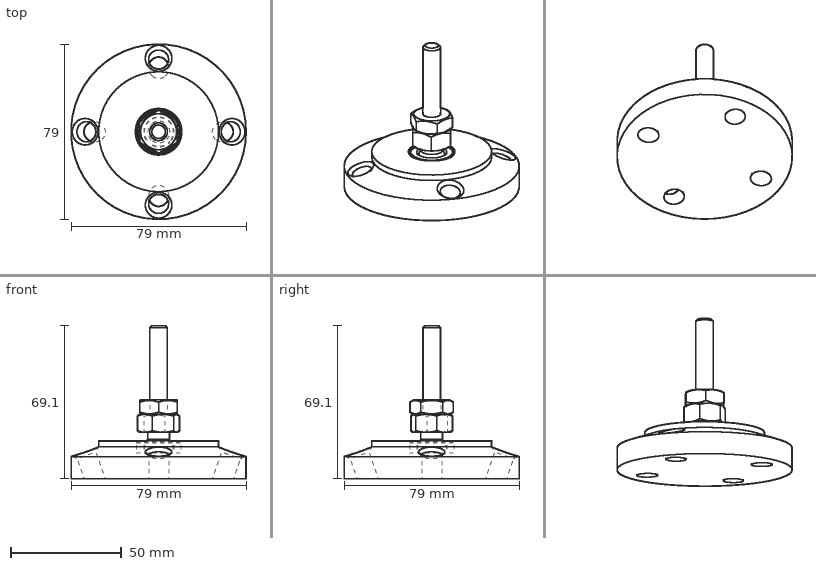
import cadquery as cq
import math

BASE_DIA = 79.0
DISC_DIA = 54.0
RIM_HEIGHT = 10.0
BASE_HEIGHT = 17.1
CONE_TOP = 14.4
CONE_ANGLE = math.degrees(math.atan2(CONE_TOP - RIM_HEIGHT, (BASE_DIA - DISC_DIA) / 2))

RECESS_DIA = 20.0
RECESS_MOUTH_DIA = 21.0
RECESS_FLOOR = 11.85
RECESS_CHAMFER = (RECESS_MOUTH_DIA - RECESS_DIA) / 2

HOLE_COUNT = 4
HOLE_DIA = 9.0
SINK_DIA = 12.3
SINK_DEPTH = (SINK_DIA - HOLE_DIA) / 2
HOLE_RADIAL_POSITION = 33.1
HOLE_LENGTH = 23.7
SINK_OVERRUN = 0.8

RING_TOP = BASE_HEIGHT - 0.2
RING_CHAMFER = 0.55
RING_BORE_DIA = 13.6

FOOT_DIA = 12.95
NECK_DIA = 9.9
SHANK_DIA = 8.0
FLARE_BOTTOM = 14.7
FLARE_TOP = 17.8
HEX_BOTTOM = 20.9
HEX_TOP = 29.1
HEX_TURN = 13.5
STUD_TOP = 69.05
TIP_CHAMFER = 0.95

NUT_TOP = 35.55
NUT_TURN = 30.0

HEX_ACROSS_FLATS = 17.0
HEX_CORNER_DIA = HEX_ACROSS_FLATS / math.cos(math.radians(30))
STUD_HEX_FACE_DIA = 16.9
NUT_FACE_DIA = 16.2
HEX_CHAMFER_ANGLE = 30.0


def cylinder(diameter, bottom, top):
    return cq.Workplane("XY").workplane(offset=bottom).circle(diameter / 2).extrude(top - bottom)


def chamfered_hexagon(bottom, top, turn, face_dia):
    """Hexagonal prism whose corners are cut back by a cone at both ends."""
    corner_radius = HEX_CORNER_DIA / 2
    face_radius = face_dia / 2
    drop = (corner_radius - face_radius) * math.tan(math.radians(HEX_CHAMFER_ANGLE))
    prism = (
        cq.Workplane("XY").workplane(offset=bottom)
        .polygon(6, HEX_CORNER_DIA).extrude(top - bottom)
        .rotate((0, 0, 0), (0, 0, 1), turn)
    )
    envelope = (
        cq.Workplane("XZ")
        .moveTo(0, bottom)
        .lineTo(face_radius, bottom)
        .lineTo(corner_radius, bottom + drop)
        .lineTo(corner_radius, top - drop)
        .lineTo(face_radius, top)
        .lineTo(0, top)
        .close()
        .revolve(360, (0, 0, 0), (0, 1, 0))
    )
    return prism.intersect(envelope)


def mounting_hole_cutter():
    """Drill and countersink on the +X side, leaning with the shoulder."""
    shoulder_z = RIM_HEIGHT + (BASE_DIA / 2 - HOLE_RADIAL_POSITION) * math.tan(math.radians(CONE_ANGLE))
    sink_radius = SINK_DIA / 2
    hole_radius = HOLE_DIA / 2
    cutter = (
        cq.Workplane("XZ")
        .moveTo(0, -HOLE_LENGTH)
        .lineTo(hole_radius, -HOLE_LENGTH)
        .lineTo(hole_radius, -SINK_DEPTH)
        .lineTo(sink_radius, 0)
        .lineTo(sink_radius, SINK_OVERRUN)
        .lineTo(0, SINK_OVERRUN)
        .close()
        .revolve(360, (0, 0, 0), (0, 1, 0))
    )
    return (
        cutter.rotate((0, 0, 0), (0, 1, 0), CONE_ANGLE)
        .translate((HOLE_RADIAL_POSITION, 0, shoulder_z))
    )


def make_base():
    body = (
        cq.Workplane("XZ")
        .lineTo(BASE_DIA / 2, 0)
        .lineTo(BASE_DIA / 2, RIM_HEIGHT)
        .lineTo(DISC_DIA / 2, CONE_TOP)
        .lineTo(DISC_DIA / 2, BASE_HEIGHT)
        .lineTo(0, BASE_HEIGHT)
        .close()
        .revolve(360, (0, 0, 0), (0, 1, 0))
    )
    body = body.cut(cylinder(RECESS_DIA, RECESS_FLOOR, BASE_HEIGHT))
    body = body.edges(cq.selectors.RadiusNthSelector(0)).edges(">Z").chamfer(RECESS_CHAMFER)
    cutter = mounting_hole_cutter()
    for i in range(HOLE_COUNT):
        body = body.cut(cutter.rotate((0, 0, 0), (0, 0, 1), i * 360 / HOLE_COUNT))
    return body


def make_ring():
    ring = cylinder(RECESS_DIA, RECESS_FLOOR, RING_TOP).faces(">Z").chamfer(RING_CHAMFER)
    return ring.cut(cylinder(RING_BORE_DIA, RECESS_FLOOR, RING_TOP))


def make_stud():
    foot_and_neck = (
        cq.Workplane("XZ")
        .moveTo(0, RECESS_FLOOR)
        .lineTo(FOOT_DIA / 2, RECESS_FLOOR)
        .lineTo(FOOT_DIA / 2, FLARE_BOTTOM)
        .lineTo(NECK_DIA / 2, FLARE_TOP)
        .lineTo(NECK_DIA / 2, HEX_BOTTOM)
        .lineTo(0, HEX_BOTTOM)
        .close()
        .revolve(360, (0, 0, 0), (0, 1, 0))
    )
    hexagon = chamfered_hexagon(HEX_BOTTOM, HEX_TOP, HEX_TURN, STUD_HEX_FACE_DIA)
    shank = cylinder(SHANK_DIA, HEX_TOP, STUD_TOP).faces(">Z").chamfer(TIP_CHAMFER)
    return foot_and_neck.union(hexagon).union(shank)


def make_nut():
    nut = chamfered_hexagon(HEX_TOP, NUT_TOP, NUT_TURN, NUT_FACE_DIA)
    return nut.cut(cylinder(SHANK_DIA, HEX_TOP, NUT_TOP))


base = make_base()
ring = make_ring()
stud = make_stud()
nut = make_nut()

result = cq.Compound.makeCompound([base.val(), ring.val(), stud.val(), nut.val()])